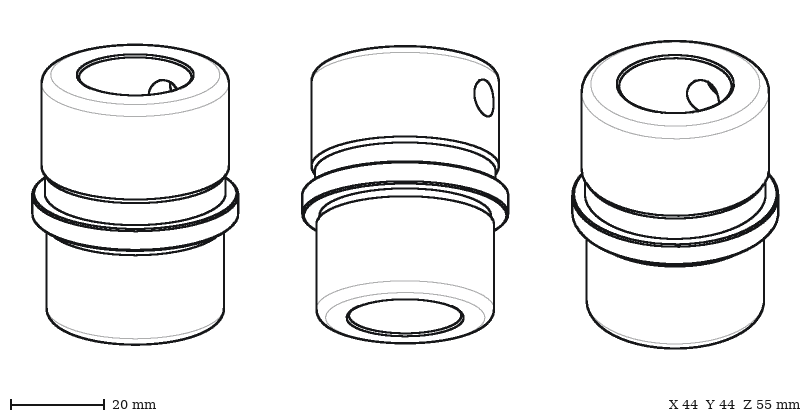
import cadquery as cq

total_height = 55.0
flange_radius = 22.0
upper_radius = 20.0
groove_radius = 19.3
lower_radius = 19.0
neck_radius = 18.3
bore_radius = 12.0

neck_bottom = 21.0
flange_bottom = 23.0
flange_top = 28.0
groove_top = 33.0
upper_bottom = 34.1

end_fillet = 2.0
flange_chamfer = 0.4
bore_chamfer = 0.5

oil_hole_diameter = 8.0
oil_hole_height = total_height - 9.0

neck_height = flange_bottom - neck_bottom
neck_inset = lower_radius - neck_radius
neck_arc_radius = (neck_height**2 + neck_inset**2) / (2 * neck_inset)
neck_mid_height = flange_bottom - neck_height / 2
neck_mid_radius = (
    neck_radius + neck_arc_radius - (neck_arc_radius**2 - (neck_height / 2) ** 2) ** 0.5
)


def make_body():
    """Revolve the stepped outer half-profile about Z and round its two ends."""
    profile = (
        cq.Workplane("XZ")
        .moveTo(0, 0)
        .lineTo(lower_radius, 0)
        .lineTo(lower_radius, neck_bottom)
        .threePointArc((neck_mid_radius, neck_mid_height), (neck_radius, flange_bottom))
        .lineTo(flange_radius - flange_chamfer, flange_bottom)
        .lineTo(flange_radius, flange_bottom + flange_chamfer)
        .lineTo(flange_radius, flange_top - flange_chamfer)
        .lineTo(flange_radius - flange_chamfer, flange_top)
        .lineTo(groove_radius, flange_top)
        .lineTo(groove_radius, groove_top)
        .lineTo(upper_radius, upper_bottom)
        .lineTo(upper_radius, total_height)
        .lineTo(0, total_height)
        .close()
    )
    body = profile.revolve(360, (0, 0, 0), (0, 1, 0))
    return body.faces("<Z or >Z").edges().fillet(end_fillet)


def make_bore():
    """Through bore, chamfered at both ends."""
    mouth_radius = bore_radius + bore_chamfer
    profile = (
        cq.Workplane("XZ")
        .moveTo(0, 0)
        .lineTo(mouth_radius, 0)
        .lineTo(bore_radius, bore_chamfer)
        .lineTo(bore_radius, total_height - bore_chamfer)
        .lineTo(mouth_radius, total_height)
        .lineTo(0, total_height)
        .close()
    )
    return profile.revolve(360, (0, 0, 0), (0, 1, 0))


def make_oil_hole():
    """Radial hole through the +Y wall into the bore."""
    return (
        cq.Workplane("XZ", origin=(0, 0, oil_hole_height))
        .circle(oil_hole_diameter / 2)
        .extrude(-flange_radius)
    )


result = make_body().cut(make_bore()).cut(make_oil_hole())